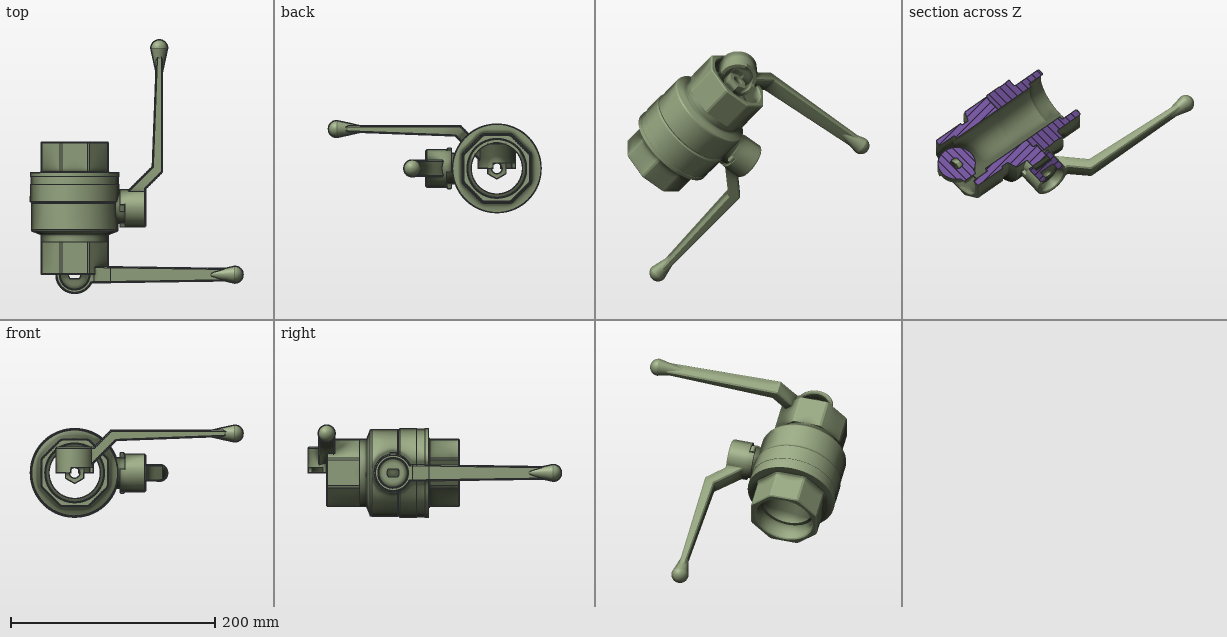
import cadquery as cq
import math


shell_length = 130.0
end_y = shell_length / 2
joint_y = 5.5
port_flats = 66.0
port_edge_chamfer = 1.2
port_rim_chamfer = 1.0
port_root_chamfer = 1.2
bore_diameter = 50.0
thread_diameter = 56.6
thread_depth = 18.0
thread_chamfer = 1.0

body_diameter = 85.0
body_octagon_y = -33.0
cone_small_y = -25.8
cone_large_y = -22.4
cone_drop = 0.5
bevel_y = -20.9
cone_root_fillet = 0.7
body_chamfer = 1.0

cap_diameter = 87.0
cap_waist_diameter = 86.0
cap_flange_y = 34.8
cap_waist_outer_y = 31.3
cap_waist_inner_y = 23.0
cap_chamfer = 1.2

neck_diameter = 30.0
neck_inner_x = 32.3
handle_seat_x = 44.2
stop_tip_radius = 20.0
stop_length = 4.5
stop_width = 6.5
stop_fillet = 1.7

hub_diameter = 37.0
hub_height = 25.3
hub_chamfer = 1.2
nut_recess_diameter = 28.0
nut_recess_depth = 9.7
recess_chamfer = 1.0
neck_recess_depth = 11.0
spindle_hole_diameter = 12.0
spindle_hole_flats = 8.0
notch_depth = 5.2
notch_offset = 3.7

handle_reach = 165.0
knob_radius = 8.5
knob_height = 38.5
knob_x = handle_reach - knob_radius
knob_cone_start_x = 131.7
knob_cone_start_radius = 3.0
lever_root_x = 15.5
lever_top_z = 41.7
lever_top_knee_x = 35.3
lever_under_knee_x = 40.7
lever_under_knee_z = 31.5
lever_end_x = 151.5
lever_end_under_z = 35.8
lever_root_half_width = 8.2
lever_end_half_width = 6.2
lever_chamfer = 1.2

nut_flats = 18.1
nut_hole_diameter = 10.2
nut_thickness = 10.0


def turned(profile):
    """Revolve (radius, y) points, closed along the axis, about the Y axis."""
    points = [(0, profile[0][1]), *profile, (0, profile[-1][1])]
    return cq.Workplane("XY").polyline(points).close().revolve(360, (0, 0, 0), (0, 1, 0))


def octagon_port(inner_y, outer_y):
    """Octagonal end with broken corners and a chamfered outer face."""
    direction = math.copysign(1, outer_y)
    corner_diameter = port_flats / math.cos(math.pi / 8)
    return (
        cq.Workplane("XZ", origin=(0, inner_y, 0))
        .transformed(rotate=(0, 0, 22.5))
        .polygon(8, corner_diameter)
        .extrude(-direction * abs(outer_y - inner_y))
        .edges("|Y").chamfer(port_edge_chamfer)
        .faces(">Y" if direction > 0 else "<Y").chamfer(port_rim_chamfer)
    )


def flow_passage():
    """Straight bore with a wider, chamfered thread bore at both ends."""
    bore = bore_diameter / 2
    thread = thread_diameter / 2
    step_y = end_y - thread_depth
    half = [
        (bore, step_y),
        (thread, step_y),
        (thread, end_y - thread_chamfer),
        (thread + thread_chamfer, end_y),
    ]
    mirrored_half = [(radius, -y) for radius, y in reversed(half)]
    return turned(mirrored_half + half)


def spindle_neck():
    """Round neck that carries the handle."""
    return (
        cq.Workplane("YZ", origin=(neck_inner_x, 0, 0))
        .circle(neck_diameter / 2)
        .extrude(handle_seat_x + notch_depth - neck_inner_x)
    )


def handle_stops():
    """Two lugs on opposite sides of the neck that limit the handle's turn."""
    return (
        cq.Workplane("XY", origin=(handle_seat_x + stop_length / 2, 0, 0))
        .box(stop_length, stop_width, 2 * stop_tip_radius)
        .faces("<Z or >Z").edges("|Y").fillet(stop_fillet)
    )


def make_valve_body():
    radius = body_diameter / 2
    port_radius = port_flats / 2
    shell = turned([
        (port_radius, body_octagon_y),
        (port_radius, cone_small_y),
        (radius - cone_drop, cone_large_y),
        (radius, bevel_y),
        (radius, joint_y - body_chamfer),
        (radius - body_chamfer, joint_y),
    ])
    cone_root = cq.selectors.BoxSelector(
        (-radius, cone_small_y - cone_root_fillet, -radius), (radius, cone_small_y + cone_root_fillet, radius)
    )
    shell = shell.edges(cone_root).fillet(cone_root_fillet)
    port = octagon_port(body_octagon_y, -end_y)
    return shell.union(port).union(spindle_neck()).union(handle_stops()).cut(flow_passage())


def make_end_cap():
    radius = cap_diameter / 2
    waist_radius = cap_waist_diameter / 2
    flange = turned([
        (radius - cap_chamfer, joint_y),
        (radius, joint_y + cap_chamfer),
        (radius, cap_waist_inner_y),
        (waist_radius, cap_waist_inner_y),
        (waist_radius, cap_waist_outer_y),
        (radius, cap_waist_outer_y),
        (radius, cap_flange_y),
    ])
    port = octagon_port(cap_flange_y, end_y)
    port_root = cq.selectors.BoxSelector(
        (-waist_radius, cap_flange_y - port_root_chamfer, -waist_radius),
        (waist_radius, cap_flange_y + port_root_chamfer, waist_radius),
    )
    cap = flange.union(port).edges(port_root).edges("%LINE").chamfer(port_root_chamfer)
    return cap.cut(flow_passage()).cut(spindle_neck())


def lever():
    """Cranked lever, tapering toward its end in both directions."""
    rise_from_hub = lever_top_z - hub_height
    under_root_z = lever_under_knee_z - (lever_under_knee_x - lever_root_x)
    side = (
        cq.Workplane("XZ")
        .polyline([
            (lever_root_x, under_root_z),
            (lever_under_knee_x, lever_under_knee_z),
            (lever_end_x, lever_end_under_z),
            (lever_end_x, lever_top_z),
            (lever_top_knee_x, lever_top_z),
            (lever_top_knee_x - rise_from_hub, hub_height),
            (lever_root_x, hub_height),
        ])
        .close()
        .extrude(lever_root_half_width, both=True)
    )
    plan = (
        cq.Workplane("XY")
        .polyline([
            (lever_root_x, -lever_root_half_width),
            (lever_end_x, -lever_end_half_width),
            (lever_end_x, lever_end_half_width),
            (lever_root_x, lever_root_half_width),
        ])
        .close()
        .extrude(lever_top_z)
    )
    blank = side.intersect(plan)
    return blank.edges("not (|Y or |Z)").chamfer(lever_chamfer)


def knob():
    """Ball end running into a cone along the lever."""
    return (
        cq.Workplane("XZ")
        .moveTo(knob_cone_start_x, knob_height)
        .lineTo(knob_cone_start_x, knob_height + knob_cone_start_radius)
        .lineTo(knob_x, knob_height + knob_radius)
        .radiusArc((handle_reach, knob_height), knob_radius)
        .close()
        .revolve(360, (0, knob_height, 0), (1, knob_height, 0))
    )


def hub_openings():
    """Recess for the nut, flatted spindle hole and recess for the neck."""
    floor_z = hub_height - nut_recess_depth
    nut_recess = (
        cq.Workplane("XY", origin=(0, 0, floor_z)).circle(nut_recess_diameter / 2).extrude(lever_top_z)
    )
    rim = (
        cq.Workplane("XY", origin=(0, 0, hub_height))
        .circle(nut_recess_diameter / 2 + recess_chamfer)
        .extrude(-recess_chamfer, taper=45)
    )
    neck_recess = cq.Workplane("XY").circle(neck_diameter / 2).extrude(neck_recess_depth)
    flats = cq.Workplane("XY").box(hub_diameter, spindle_hole_flats, 2 * hub_height)
    spindle_hole = (
        cq.Workplane("XY").circle(spindle_hole_diameter / 2).extrude(hub_height).intersect(flats)
    )
    return nut_recess.union(rim).union(neck_recess).union(spindle_hole)


def stop_notches():
    """Two opposite quarter cut-outs in the hub's lower rim."""
    corner = cq.Workplane("XY").box(
        hub_diameter, hub_diameter, notch_depth, centered=False
    ).translate((-notch_offset, notch_offset, 0))
    first = corner.mirror("XZ")
    second = corner.mirror("YZ")
    return first.union(second)


def make_handle():
    hub = (
        cq.Workplane("XY").circle(hub_diameter / 2).extrude(hub_height)
        .faces(">Z").edges().chamfer(hub_chamfer)
    )
    return hub.union(lever()).union(knob()).cut(hub_openings()).cut(stop_notches())


def make_nut():
    return (
        cq.Workplane("XZ", origin=(0, -end_y, 0))
        .transformed(rotate=(0, 0, 30))
        .polygon(6, nut_flats / math.cos(math.pi / 6))
        .circle(nut_hole_diameter / 2)
        .extrude(-nut_thickness)
    )


handle = make_handle()
fitted_handle = handle.rotate((0, 0, 0), (1, 1, 1), 120).translate((handle_seat_x, 0, 0))
upright_handle = handle.translate((0, -end_y, 0))

valve_body = make_valve_body().cut(upright_handle)
end_cap = make_end_cap()
nut = make_nut()

result = cq.Compound.makeCompound([
    valve_body.solids().val(),
    end_cap.solids().val(),
    fitted_handle.solids().val(),
    upright_handle.solids().val(),
    nut.val(),
])